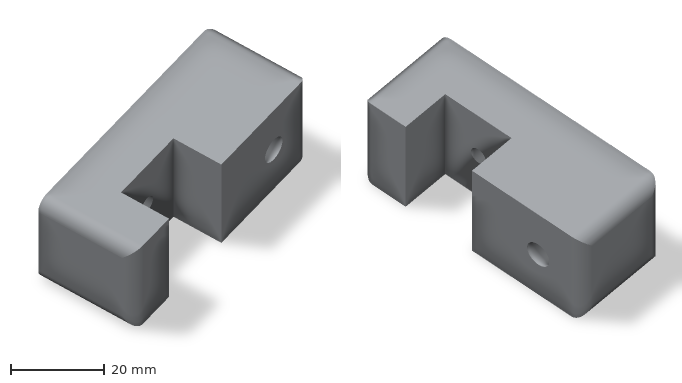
import cadquery as cq

width = 25.4
length = 63.5
height = 25.4
end_radius = 3.2

notch_start = 12.7
notch_length = 19.05
notch_depth = width / 2

small_hole_diameter = 4.2
small_hole_y = notch_start + notch_length / 2
large_hole_diameter = 6.35
large_hole_y = 50.8


def plan_body():
    """Block with its upright end edges rounded, except the one at -X, -Y."""
    block = cq.Workplane("XY").box(width, length, height, centered=False)
    block = block.edges("|Z and >Y").fillet(end_radius)
    return block.edges("|Z and <Y and >X").fillet(end_radius)


def side_body():
    """Block with the four end edges that run along X rounded."""
    block = cq.Workplane("XY").box(width, length, height, centered=False)
    return block.edges("|X").fillet(end_radius)


def notch():
    return (
        cq.Workplane("XY")
        .box(notch_depth, notch_length, height, centered=False)
        .translate((width - notch_depth, notch_start, 0))
    )


def cross_hole(y, diameter):
    """Cylinder along X through the whole width."""
    return cq.Workplane("YZ").center(y, height / 2).circle(diameter / 2).extrude(width)


result = plan_body().intersect(side_body()).cut(notch())
for hole_y, hole_diameter in (
    (small_hole_y, small_hole_diameter),
    (large_hole_y, large_hole_diameter),
):
    result = result.cut(cross_hole(hole_y, hole_diameter))